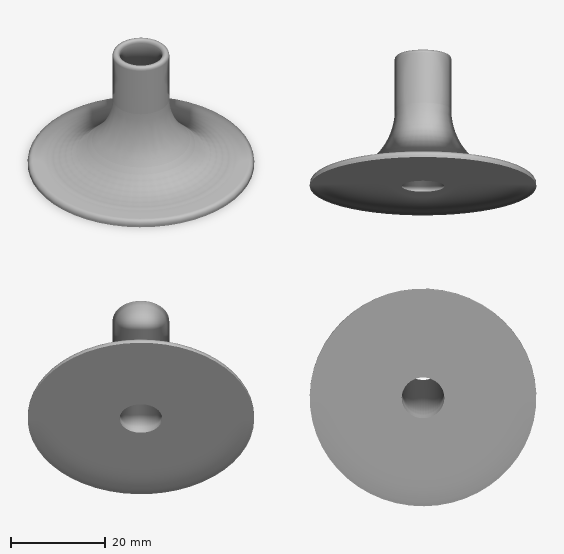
import cadquery as cq
import math

flange_radius = 24.0
flange_thickness = 1.5
flange_edge_radius = 1.0

total_height = 28.5
tube_radius = 6.0
bore_radius = 4.5
lip_radius = (tube_radius - bore_radius) / 2

flare_foot_radius = 19.95
lower_arc_radius = 12.0
upper_arc_radius = 15.0

sin_45 = math.sqrt(0.5)


def point_on_arc(center, radius, angle_degrees):
    angle = math.radians(angle_degrees)
    return (center[0] + radius * math.cos(angle), center[1] + radius * math.sin(angle))


lower_center = (flare_foot_radius, flange_thickness + lower_arc_radius)
flare_foot = point_on_arc(lower_center, lower_arc_radius, 270)
lower_middle = point_on_arc(lower_center, lower_arc_radius, 247.5)
cone_bottom = point_on_arc(lower_center, lower_arc_radius, 225)

cone_top_radius = tube_radius + upper_arc_radius * (1 - sin_45)
cone_top_height = cone_bottom[1] + cone_bottom[0] - cone_top_radius
upper_center = (tube_radius + upper_arc_radius, cone_top_height + upper_arc_radius * sin_45)
cone_top = point_on_arc(upper_center, upper_arc_radius, 225)
upper_middle = point_on_arc(upper_center, upper_arc_radius, 202.5)
tube_foot = point_on_arc(upper_center, upper_arc_radius, 180)

edge_center = (flange_radius - flange_edge_radius, flange_thickness - flange_edge_radius)
edge_start = point_on_arc(edge_center, flange_edge_radius, 0)
edge_middle = point_on_arc(edge_center, flange_edge_radius, 45)
edge_end = point_on_arc(edge_center, flange_edge_radius, 90)

lip_base_height = total_height - lip_radius
lip_top = (tube_radius - lip_radius, total_height)

profile = (
    cq.Workplane("XZ")
    .moveTo(bore_radius, 0)
    .lineTo(flange_radius, 0)
    .lineTo(*edge_start)
    .threePointArc(edge_middle, edge_end)
    .lineTo(*flare_foot)
    .threePointArc(lower_middle, cone_bottom)
    .lineTo(*cone_top)
    .threePointArc(upper_middle, tube_foot)
    .lineTo(tube_radius, lip_base_height)
    .threePointArc(lip_top, (bore_radius, lip_base_height))
    .close()
)

result = profile.revolve(360, (0, 0, 0), (0, 1, 0))